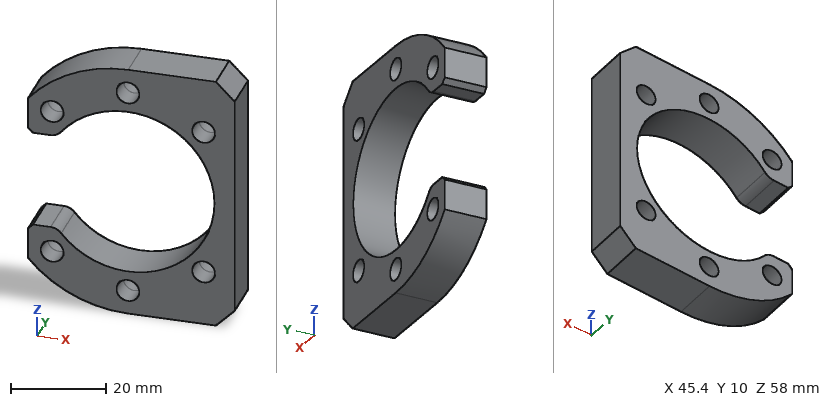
import cadquery as cq
import math

height = 58.0
thickness = 10.0
left_reach = 21.9
right_reach = 23.45
corner_chamfer = 4.1
bore_radius = 18.95
mouth_width = 21.8
mouth_chamfer = 1.1
mouth_fillet = 3.0
hole_diameter = 5.0
hole_circle_radius = 23.5
hole_angles = (45, 90, 135, 225, 270, 315)

outer_radius = height / 2
arc_end_height = math.sqrt(outer_radius**2 - left_reach**2)
arc_mid_angle = (math.pi / 2 + math.atan2(arc_end_height, -left_reach)) / 2
arc_mid_x = outer_radius * math.cos(arc_mid_angle)
arc_mid_z = outer_radius * math.sin(arc_mid_angle)


def make_plate():
    """Plate with a flat right side and a rounded left side, cut off straight."""
    return (
        cq.Workplane("XZ")
        .moveTo(0, outer_radius)
        .lineTo(right_reach - corner_chamfer, outer_radius)
        .lineTo(right_reach, outer_radius - corner_chamfer)
        .lineTo(right_reach, corner_chamfer - outer_radius)
        .lineTo(right_reach - corner_chamfer, -outer_radius)
        .lineTo(0, -outer_radius)
        .threePointArc((arc_mid_x, -arc_mid_z), (-left_reach, -arc_end_height))
        .lineTo(-left_reach, arc_end_height)
        .threePointArc((arc_mid_x, arc_mid_z), (0, outer_radius))
        .close()
        .extrude(thickness / 2, both=True)
    )


def cut_bore_and_mouth(body):
    """Cut the bore and its side opening, then ease the edges of the opening."""
    bore = cq.Workplane("XZ").circle(bore_radius).extrude(thickness, both=True)
    mouth = (
        cq.Workplane("XY")
        .box(left_reach, 2 * thickness, mouth_width)
        .translate((-left_reach / 2, 0, 0))
    )
    body = body.cut(bore).cut(mouth)

    half_mouth = mouth_width / 2
    bore_corner_x = -math.sqrt(bore_radius**2 - half_mouth**2)
    for side in (-1, 1):
        corner_z = side * half_mouth
        inner_edge = cq.selectors.NearestToPointSelector((bore_corner_x, 0, corner_z))
        outer_edge = cq.selectors.NearestToPointSelector((-left_reach, 0, corner_z))
        body = body.edges("|Y").edges(inner_edge).fillet(mouth_fillet)
        body = body.edges("|Y").edges(outer_edge).chamfer(mouth_chamfer)
    return body


def cut_bolt_holes(body):
    """Drill the through holes on a circle around the bore."""
    centers = [
        (
            hole_circle_radius * math.cos(math.radians(angle)),
            hole_circle_radius * math.sin(math.radians(angle)),
        )
        for angle in hole_angles
    ]
    holes = (
        cq.Workplane("XZ")
        .pushPoints(centers)
        .circle(hole_diameter / 2)
        .extrude(thickness, both=True)
    )
    return body.cut(holes)


result = cut_bolt_holes(cut_bore_and_mouth(make_plate()))